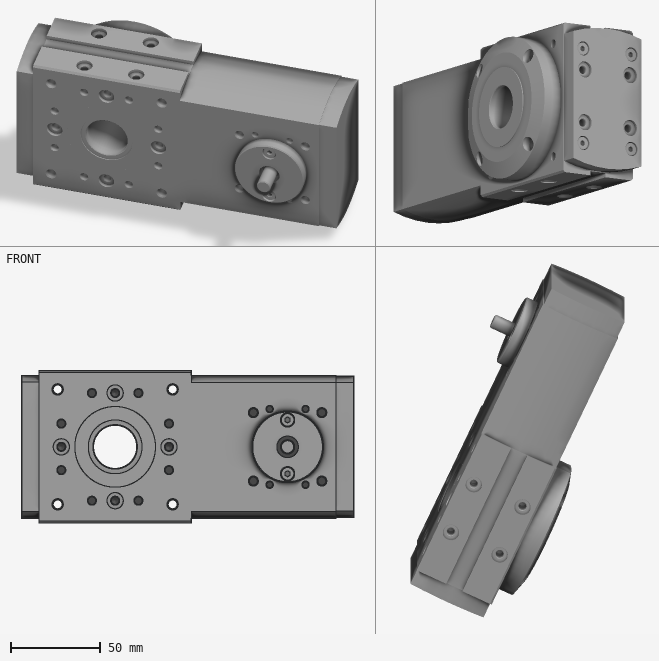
import cadquery as cq
import math


block_size = 85.0
housing_depth = 46.0
mid_depth = housing_depth / 2
block_half = block_size / 2
block_chamfer = 1.1
total_length = 185.0
cover_left_length = 9.6
cover_right_length = 10.0
left_end = -block_half - cover_left_length
right_end = left_end + total_length
side_half = 35.9
crown_half = 39.8
cover_inset = 0.5
cover_drop = 0.4
slot_width = 10.0
slot_depth = 2.4

hub_diameter = 45.0
hub_bore = 24.0
hub_bore_chamfer = 0.4
hub_recess_diameter = 30.0
hub_recess_depth = 0.5
hub_rise = 0.5
rear_radius = 39.8
rear_cylinder_height = 10.7
rear_height = 13.5
rear_top_radius = 30.7
rear_flat = 38.1
rear_screw_offset = 25.0
rear_screw_depth = 5.0

input_x = 96.0
flange_diameter = 40.0
flange_height = 6.7
flange_chamfer = 0.5
shaft_diameter = 8.0
shaft_reach = 18.3
shaft_chamfer = 0.5
shaft_clearance_diameter = 12.0

thread_diameter = 4.3
thread_mouth = 5.0
thread_depth = 13.0
sleeve_diameter = 9.0
sleeve_depth = 2.0
sleeve_offset = 15.0
face_offset = 2 * sleeve_offset
face_spread = 13.0
corner_offset = 32.0
corner_diameter = 5.0
corner_mouth = 6.3
motor_hole_offset = 19.0
motor_hole_diameter = 4.5
motor_hole_mouth = 5.5
pin_hole_x = 10.0
pin_hole_z = 21.0
pin_hole_diameter = 3.3
pin_hole_mouth = 4.0
drill_point_angle = 118.0
flat_bottom_angle = 180.0

screw_seat_diameter = 8.0
screw_head_diameter = 7.0
screw_seat_depth = 4.0
screw_head_height = 3.3
socket_width = 3.3
socket_depth = 2.0
cover_screw_y = 16.0
cover_screw_z = 26.8
flange_screw_offset = 15.0

SIGNS = (-1, 1)
INTO_FRONT = cq.Vector(0, 1, 0)
INTO_REAR = cq.Vector(0, -1, 0)
INTO_LEFT = cq.Vector(1, 0, 0)


def cylinder(diameter, length, start, direction):
    return cq.Solid.makeCylinder(diameter / 2, length, start, direction)


def drilled_hole(start, direction, diameter, mouth, depth, point_angle=flat_bottom_angle):
    """Hole with a countersunk mouth; a point angle below 180 degrees gives it a conical bottom."""
    radius = diameter / 2
    rim = mouth / 2
    profile = [(0, 0), (rim, 0), (radius, rim - radius), (radius, depth)]
    tip = depth + radius / math.tan(math.radians(point_angle / 2))
    profile.append((0, tip))
    side = cq.Vector(0, 0, 1) if direction.z == 0 else cq.Vector(1, 0, 0)
    plane = cq.Plane(origin=start, xDir=side, normal=side.cross(direction))
    return cq.Workplane(plane).polyline(profile).close().revolve(360, (0, 0), (0, 1)).val()


def sleeve_hole(start, direction):
    """Threaded hole below a shallow sleeve seat."""
    seat = cylinder(sleeve_diameter, sleeve_depth, start, direction)
    floor = start + direction * sleeve_depth
    thread = drilled_hole(
        floor, direction, thread_diameter, thread_mouth, thread_depth, drill_point_angle
    )
    return seat.fuse(thread)


def screw_gap(start, direction):
    """Material missing around and inside a sunk socket head screw."""
    seat = cylinder(screw_seat_diameter, screw_seat_depth, start, direction)
    head_top = start + direction * (screw_seat_depth - screw_head_height)
    head = cylinder(screw_head_diameter, screw_head_height, head_top, direction)
    socket = cq.Workplane(cq.Plane(origin=head_top, normal=direction))
    socket = socket.polygon(6, socket_width).extrude(socket_depth).val()
    return seat.cut(head).fuse(socket)


def crowned_bar(x_start, x_end, inset, drop):
    """Bar along X with flat sides and arched top and bottom, stepped in by the inset and the drop."""
    edge = side_half - drop
    crown = crown_half - drop
    bar = (
        cq.Workplane("YZ", origin=(x_start, 0, 0))
        .moveTo(0, -edge)
        .lineTo(0, edge)
        .threePointArc((mid_depth, crown), (housing_depth, edge))
        .lineTo(housing_depth, -edge)
        .threePointArc((mid_depth, -crown), (0, -edge))
        .close()
        .extrude(x_end - x_start)
    )
    limits = cq.Workplane("XY").box(
        x_end - x_start, housing_depth - 2 * inset, block_size, centered=(False, True, True)
    )
    return bar.intersect(limits.translate((x_start, mid_depth, 0)))


def mounting_block():
    block = cq.Workplane("XY").box(block_size, housing_depth, block_size)
    block = block.edges("|X").chamfer(block_chamfer)
    slot = cq.Workplane("XY").box(block_size, slot_width, slot_depth, centered=(True, True, False))
    block = block.cut(slot.translate((0, 0, block_half - slot_depth)))
    block = block.cut(slot.translate((0, 0, -block_half)))
    return block.translate((0, mid_depth, 0))


def input_flange():
    flange = cq.Workplane("XZ", origin=(input_x, 0, 0)).circle(flange_diameter / 2)
    return flange.extrude(flange_height).faces("<Y").edges().chamfer(flange_chamfer)


def face_hole_cutters():
    """Mounting face of the block: four sleeve holes, eight plain holes, four through holes."""
    cutters = []
    for sign in SIGNS:
        for along_x in (True, False):
            for spread in (-face_spread, 0, face_spread):
                across = sign * face_offset
                start = cq.Vector(across, 0, spread) if along_x else cq.Vector(spread, 0, across)
                if spread == 0:
                    cutters.append(sleeve_hole(start, INTO_FRONT))
                else:
                    cutters.append(
                        drilled_hole(start, INTO_FRONT, thread_diameter, thread_mouth, thread_depth)
                    )
        for other in SIGNS:
            start = cq.Vector(sign * corner_offset, 0, other * corner_offset)
            cutters.append(
                drilled_hole(start, INTO_FRONT, corner_diameter, corner_mouth, housing_depth)
            )
    return cutters


def side_hole_cutters():
    """Sleeve holes in the top, the bottom and the left end, and the screws of the left end."""
    cutters = []
    for sign_y in SIGNS:
        y = mid_depth + sign_y * sleeve_offset
        for sign in SIGNS:
            for face in SIGNS:
                start = cq.Vector(sign * sleeve_offset, y, face * block_half)
                cutters.append(sleeve_hole(start, cq.Vector(0, 0, -face)))
            cutters.append(sleeve_hole(cq.Vector(left_end, y, sign * sleeve_offset), INTO_LEFT))
            screw = cq.Vector(left_end, mid_depth + sign_y * cover_screw_y, sign * cover_screw_z)
            cutters.append(screw_gap(screw, INTO_LEFT))
    return cutters


def input_hole_cutters():
    """Holes around the input flange, its two screws and the clearance around the shaft."""
    flange_face = cq.Vector(input_x, -flange_height, 0)
    cutters = [cylinder(shaft_clearance_diameter, flange_height, flange_face, INTO_FRONT)]
    for sign_z in SIGNS:
        screw = flange_face + cq.Vector(0, 0, sign_z * flange_screw_offset)
        cutters.append(screw_gap(screw, INTO_FRONT))
        for sign_x in SIGNS:
            motor_hole = cq.Vector(
                input_x + sign_x * motor_hole_offset, 0, sign_z * motor_hole_offset
            )
            pin_hole = cq.Vector(input_x + sign_x * pin_hole_x, 0, sign_z * pin_hole_z)
            cutters.append(
                drilled_hole(motor_hole, INTO_FRONT, motor_hole_diameter, motor_hole_mouth, thread_depth)
            )
            cutters.append(
                drilled_hole(pin_hole, INTO_FRONT, pin_hole_diameter, pin_hole_mouth, thread_depth)
            )
    return cutters


def make_housing():
    right_cover_start = right_end - cover_right_length
    body = crowned_bar(-block_half, right_cover_start, 0, 0)
    body = body.union(crowned_bar(left_end, -block_half, cover_inset, 0))
    body = body.union(crowned_bar(right_cover_start, right_end, cover_inset, cover_drop))
    body = body.union(mounting_block()).union(input_flange())
    hub_seat = cylinder(hub_diameter, housing_depth, cq.Vector(0, 0, 0), INTO_FRONT)
    cutters = [hub_seat, *face_hole_cutters(), *side_hole_cutters(), *input_hole_cutters()]
    return cq.Workplane(body.val().cut(*cutters))


def make_rear_cover():
    """Round cover with a conical edge, one flat and four screw seats, bored for the hub."""
    cover = (
        cq.Workplane("XY")
        .moveTo(hub_diameter / 2, housing_depth)
        .lineTo(rear_radius, housing_depth)
        .lineTo(rear_radius, housing_depth + rear_cylinder_height)
        .lineTo(rear_top_radius, housing_depth + rear_height)
        .lineTo(hub_diameter / 2, housing_depth + rear_height)
        .close()
        .revolve(360, (0, 0, 0), (0, 1, 0))
    )
    beyond_flat = cq.Workplane("XY").box(
        rear_radius, rear_height, 2 * rear_radius, centered=(False, False, True)
    )
    cover = cover.cut(beyond_flat.translate((rear_flat, housing_depth, 0)))
    for sign_x in SIGNS:
        for sign_z in SIGNS:
            start = cq.Vector(
                sign_x * rear_screw_offset, housing_depth + rear_height, sign_z * rear_screw_offset
            )
            cover = cover.cut(
                cq.Workplane(cylinder(screw_seat_diameter, rear_screw_depth, start, INTO_REAR))
            )
    return cover


def make_hub():
    """Hollow output hub through the housing and the rear cover."""
    length = housing_depth + rear_height + hub_rise
    hub = cq.Workplane("XZ").circle(hub_diameter / 2).circle(hub_bore / 2).extrude(-length)
    recess = cylinder(hub_recess_diameter, hub_recess_depth, cq.Vector(0, 0, 0), INTO_FRONT)
    hub = hub.cut(cq.Workplane(recess))
    bore_rim = cq.selectors.RadiusNthSelector(0)
    return hub.edges("%CIRCLE").edges(bore_rim).chamfer(hub_bore_chamfer)


def make_input_shaft():
    """Shaft standing on the floor of the clearance hole in the flange."""
    shaft = cq.Workplane("XZ", origin=(input_x, 0, 0)).circle(shaft_diameter / 2)
    return shaft.extrude(shaft_reach).faces("<Y").edges().chamfer(shaft_chamfer)


housing = make_housing()
rear_cover = make_rear_cover()
hub = make_hub()
input_shaft = make_input_shaft()

result = cq.Compound.makeCompound(
    [housing.val(), rear_cover.val(), hub.val(), input_shaft.val()]
)